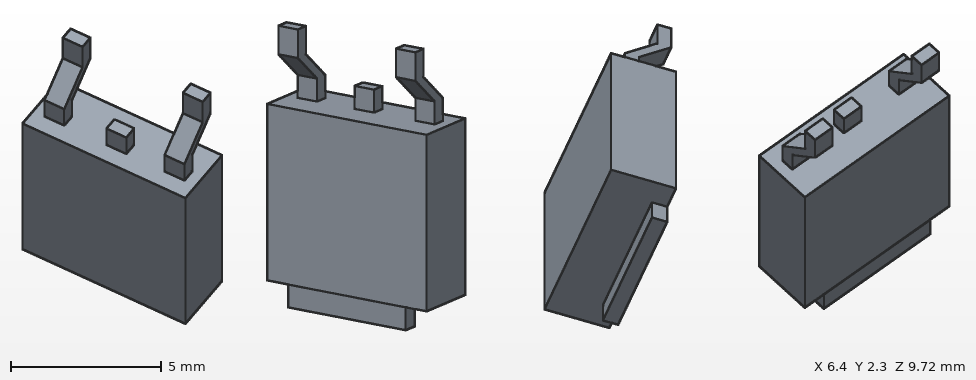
import cadquery as cq

housing_width = 6.4
housing_depth = 2.3
housing_height = 6.13

tab_width = 4.71
tab_thickness = 0.54
tab_height = 0.8

lead_width = 0.78
lead_thickness = 0.5
lead_spacing = 4.71
lead_back_offset = 1.15
lead_root_height = 0.8
lead_end_height = 0.99
centre_lead_shift = 0.08

overall_height = 9.72
lead_tip_z = overall_height - tab_height
lead_root_z = housing_height + lead_root_height
lead_end_z = lead_tip_z - lead_end_height


def make_outer_lead(x_centre):
    """Lead that slopes back from its root until it is flush with the back face."""
    root_back_y = -lead_back_offset
    root_front_y = root_back_y - lead_thickness
    side_outline = [
        (root_front_y, housing_height),
        (root_front_y, lead_root_z),
        (-lead_thickness, lead_end_z),
        (-lead_thickness, lead_tip_z),
        (0, lead_tip_z),
        (0, lead_end_z),
        (root_back_y, lead_root_z),
        (root_back_y, housing_height),
    ]
    return (
        cq.Workplane("YZ", origin=(x_centre - lead_width / 2, 0, 0))
        .polyline(side_outline)
        .close()
        .extrude(lead_width)
    )


def make_centre_lead():
    """Short straight lead, in line with the roots of the outer leads."""
    centre_y = -lead_back_offset - lead_thickness / 2
    return (
        cq.Workplane("XY", origin=(centre_lead_shift, centre_y, housing_height))
        .rect(lead_width, lead_thickness)
        .extrude(lead_root_height)
    )


def make_housing():
    """Rectangular housing in one piece with its three leads."""
    body = (
        cq.Workplane("XY", origin=(0, -housing_depth / 2, 0))
        .rect(housing_width, housing_depth)
        .extrude(housing_height)
    )
    for side in (-1, 1):
        body = body.union(make_outer_lead(side * lead_spacing / 2))
    return body.union(make_centre_lead())


def make_tab():
    """Flat tab that meets the bottom of the housing."""
    return (
        cq.Workplane("XY", origin=(0, -tab_thickness / 2, -tab_height))
        .rect(tab_width, tab_thickness)
        .extrude(tab_height)
    )


housing = make_housing()
tab = make_tab()

result = cq.Compound.makeCompound([housing.val(), tab.val()])